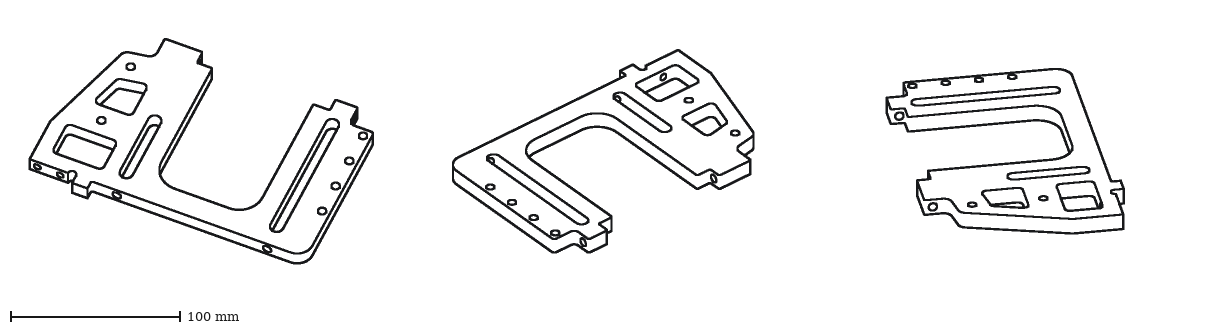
import cadquery as cq
import math

length = 178.5
thickness = 10.0
mid_height = thickness / 2

top_y = 112.8
locating_tab_depth = 5.7
locating_tab_left, locating_tab_right = 30.0, 40.0
left_tab_left, left_tab_right = 37.7, 62.1
right_tab_left, right_tab_right = 148.0, 162.5
shoulder_y = 104.5
right_shoulder_y = 100.0
opening_left, opening_right = 72.1, 137.3
opening_bottom = 15.0
left_edge_top = 30.3
peak_x, peak_y = 19.5, 94.6
shoulder_slope = math.tan(math.radians(10))

small_radius = 1.0
right_shoulder_radius = 2.0
right_tab_root_radius = 3.0
slanted_side_radius = 5.0
base_corner_radius = 10.0
opening_radius = 15.0
window_radius = 3.0

window_right = 42.5
lower_window_left = 10.0
lower_window_bottom, lower_window_top = 10.2, 32.8
upper_window_left, upper_window_bottom = 17.3, 53.2
upper_window_peak_x, upper_window_peak_y = 24.1, 75.0
slot_width = 8.0
slot_bottom = lower_window_bottom
left_slot_x, left_slot_top = 56.4, 59.5
right_slot_x, right_slot_top = 153.5, 99.5

plate_hole_diameter = 5.0
left_hole_x = 27.5
left_hole_ys = (43.0, 85.9)
right_hole_x = 173.5
right_hole_first_y = 35.2
right_hole_pitch = 20.0
right_hole_count = 4
relief_radius = plate_hole_diameter / 2
tab_hole_y = 107.6
tab_hole_diameter = 5.0
slot_hole_diameter = 5.4
small_hole_diameter = 4.3
window_hole_x = 19.8
blind_hole_x = 5.0
blind_hole_depth = 20.0
drill_point_angle = 118.0


def rounded_prism(corners):
    """Extrude a polygon of (x, y, radius) corners, rounding those with a radius."""
    prism = cq.Workplane("XY").polyline([(x, y) for x, y, _ in corners]).close().extrude(thickness)
    for radius in sorted({r for _, _, r in corners if r > 0}):
        for x, y, corner_radius in corners:
            if corner_radius == radius:
                edge = cq.selectors.NearestToPointSelector((x, y, mid_height))
                prism = prism.edges("|Z").edges(edge).fillet(radius)
    return prism


def plate():
    inner_shoulder_y = peak_y + (left_tab_left - peak_x) * shoulder_slope
    return rounded_prism([
        (0, 0, 0),
        (locating_tab_left, 0, 0),
        (locating_tab_left, -locating_tab_depth, 0),
        (locating_tab_right, -locating_tab_depth, 0),
        (locating_tab_right, 0, small_radius),
        (length, 0, base_corner_radius),
        (length, right_shoulder_y, right_shoulder_radius),
        (right_tab_right, right_shoulder_y, right_tab_root_radius),
        (right_tab_right, top_y, small_radius),
        (right_tab_left, top_y, small_radius),
        (right_tab_left, shoulder_y, small_radius),
        (opening_right, shoulder_y, small_radius),
        (opening_right, opening_bottom, opening_radius),
        (opening_left, opening_bottom, opening_radius),
        (opening_left, shoulder_y, small_radius),
        (left_tab_right, shoulder_y, small_radius),
        (left_tab_right, top_y, small_radius),
        (left_tab_left, top_y, small_radius),
        (left_tab_left, inner_shoulder_y, slanted_side_radius),
        (peak_x, peak_y, slanted_side_radius),
        (0, left_edge_top, slanted_side_radius),
    ])


def lower_window():
    return rounded_prism([
        (lower_window_left, lower_window_bottom, window_radius),
        (window_right, lower_window_bottom, window_radius),
        (window_right, lower_window_top, window_radius),
        (lower_window_left, lower_window_top, window_radius),
    ])


def upper_window():
    right_top = upper_window_peak_y + (window_right - upper_window_peak_x) * shoulder_slope
    return rounded_prism([
        (upper_window_left, upper_window_bottom, window_radius),
        (window_right, upper_window_bottom, window_radius),
        (window_right, right_top, window_radius),
        (upper_window_peak_x, upper_window_peak_y, window_radius),
    ])


def slot(x, top):
    return (
        cq.Workplane("XY")
        .center(x, (slot_bottom + top) / 2)
        .slot2D(top - slot_bottom, slot_width, 90)
        .extrude(thickness)
    )


def plate_holes():
    right_points = [
        (right_hole_x, right_hole_first_y + i * right_hole_pitch) for i in range(right_hole_count)
    ]
    left_points = [(left_hole_x, y) for y in left_hole_ys]
    return (
        cq.Workplane("XY")
        .pushPoints(left_points + right_points)
        .circle(plate_hole_diameter / 2)
        .extrude(thickness)
    )


def corner_relief():
    """Round notch beside the locating tab."""
    return cq.Workplane("XY").center(left_hole_x, 0).circle(relief_radius).extrude(thickness)


def base_edge_hole(x, diameter, depth):
    """Hole running into the plate from the base edge."""
    start = cq.Vector(x, 0, mid_height)
    return cq.Workplane(cq.Solid.makeCylinder(diameter / 2, depth, start, cq.Vector(0, 1, 0)))


def blind_hole():
    """Base edge hole ending in a conical drill point."""
    radius = small_hole_diameter / 2
    point_length = radius / math.tan(math.radians(drill_point_angle / 2))
    point_start = cq.Vector(blind_hole_x, blind_hole_depth, mid_height)
    point = cq.Solid.makeCone(radius, 0, point_length, point_start, cq.Vector(0, 1, 0))
    return base_edge_hole(blind_hole_x, small_hole_diameter, blind_hole_depth).union(cq.Workplane(point))


def tab_hole():
    """Cross hole running along X through both upper tabs."""
    return (
        cq.Workplane("YZ")
        .center(tab_hole_y, mid_height)
        .circle(tab_hole_diameter / 2)
        .extrude(length)
    )


slot_hole_depth = slot_bottom + slot_width / 2
window_hole_depth = (lower_window_bottom + lower_window_top) / 2

cutters = [
    lower_window(),
    upper_window(),
    slot(left_slot_x, left_slot_top),
    slot(right_slot_x, right_slot_top),
    plate_holes(),
    corner_relief(),
    base_edge_hole(left_slot_x, slot_hole_diameter, slot_hole_depth),
    base_edge_hole(right_slot_x, slot_hole_diameter, slot_hole_depth),
    base_edge_hole(window_hole_x, small_hole_diameter, window_hole_depth),
    blind_hole(),
    tab_hole(),
]

result = plate()
for cutter in cutters:
    result = result.cut(cutter)